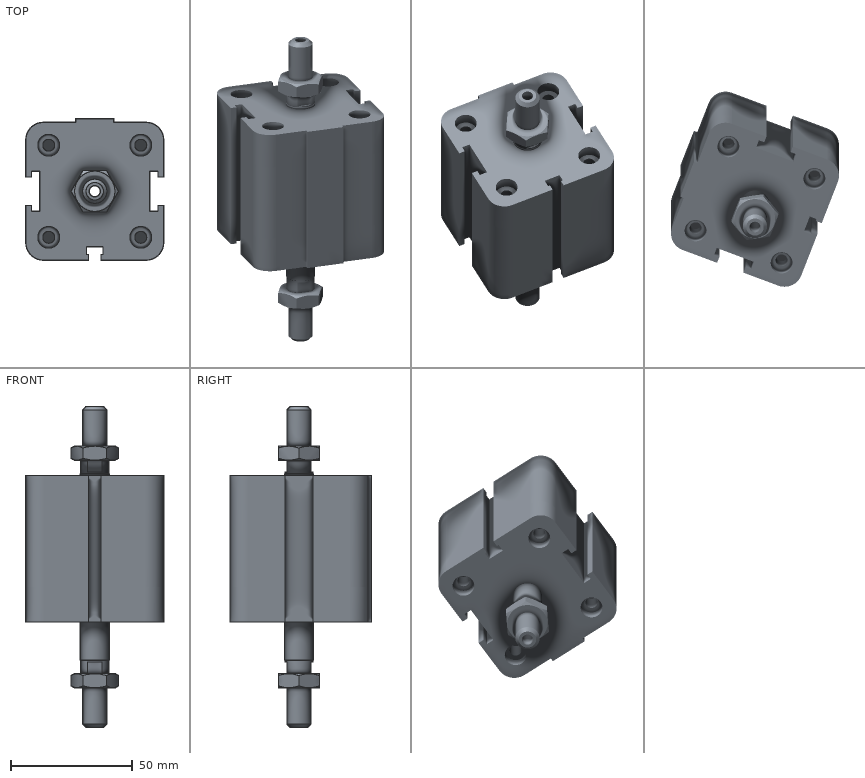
import cadquery as cq
import math

housing_width = 57.0
housing_length = 60.5
cap_length = 14.4
corner_radius = 7.4
rail_width = 15.8
rail_height = 1.5

side_slot = dict(mouth=11.7, chamber=16.4, lip=2.5, depth=5.8)
front_slot = dict(mouth=5.1, chamber=6.8, lip=2.5, depth=5.6)

mount_spacing = 38.0
mount_counterbore_diameter = 9.0
mount_counterbore_depth = 5.0
mount_hole_diameter = 4.92
mount_hole_depth = 14.5

rod_diameter = 12.0
stroke = 15.0
shoulder_height = 0.8
shoulder_chamfer = 0.15
neck_diameter = 11.7
neck_length = 5.4
neck_chamfer = 0.15
flat_spacing = 10.0
flat_gap = 0.6
thread_diameter = 10.0
rod_overhang = 28.5
tip_chamfer = 1.4
rod_bore_diameter = 4.5

nut_across_flats = 17.0
nut_height = 6.0
nut_face_diameter = 16.6
nut_chamfer_angle = 30.0

housing_bottom = 0.0
housing_top = housing_bottom + housing_length
rod_top = housing_top + rod_overhang
rod_bottom = housing_bottom - stroke - rod_overhang
shoulder_top = housing_top + shoulder_height
shoulder_bottom = housing_bottom - stroke - shoulder_height
neck_top = shoulder_top + neck_length
neck_bottom = shoulder_bottom - neck_length


def cylinder(diameter, bottom, top):
    return cq.Workplane("XY").workplane(offset=bottom).circle(diameter / 2).extrude(top - bottom)


def t_slot(bottom, top, mouth, chamber, lip, depth):
    """Cutter for a T-slot that opens at the -Y side of the housing."""
    surface = -housing_width / 2
    outline = [
        (-mouth / 2, surface),
        (-mouth / 2, surface + lip),
        (-chamber / 2, surface + lip),
        (-chamber / 2, surface + depth),
        (chamber / 2, surface + depth),
        (chamber / 2, surface + lip),
        (mouth / 2, surface + lip),
        (mouth / 2, surface),
    ]
    base = cq.Workplane("XY").workplane(offset=bottom)
    return base.polyline(outline).close().extrude(top - bottom)


def housing_section(bottom, top):
    """Length of the housing profile: rounded square, rail on +Y, T-slots on the other sides."""
    length = top - bottom
    base = cq.Workplane("XY").workplane(offset=bottom)
    section = base.rect(housing_width, housing_width).extrude(length).edges("|Z").fillet(corner_radius)
    rail = base.center(0, housing_width / 2).rect(rail_width, 2 * rail_height).extrude(length)
    section = section.union(rail).cut(t_slot(bottom, top, **front_slot))
    for angle in (-90, 90):
        slot = t_slot(bottom, top, **side_slot)
        section = section.cut(slot.rotate((0, 0, 0), (0, 0, 1), angle))
    return section


def mount_hole(end, inward):
    """Cutter for one blind counterbored hole on the Z axis, from the face at Z = end."""
    face = cq.Workplane("XY").workplane(offset=end)
    counterbore = face.circle(mount_counterbore_diameter / 2).extrude(inward * mount_counterbore_depth)
    return counterbore.union(face.circle(mount_hole_diameter / 2).extrude(inward * mount_hole_depth))


def make_housing():
    """End caps and barrel share one profile; clean=False keeps the seam lines between them."""
    body = housing_section(housing_bottom, housing_bottom + cap_length)
    body = body.union(housing_section(housing_bottom + cap_length, housing_top - cap_length), clean=False)
    body = body.union(housing_section(housing_top - cap_length, housing_top), clean=False)
    for end, inward in ((housing_bottom, 1), (housing_top, -1)):
        for x in (-mount_spacing / 2, mount_spacing / 2):
            for y in (-mount_spacing / 2, mount_spacing / 2):
                body = body.cut(mount_hole(end, inward).translate((x, y, 0)), clean=False)
    return body.cut(cylinder(rod_diameter, housing_bottom, housing_top), clean=False)


def make_neck(base, outward):
    """Neck from the shoulder at Z = base, with wrench flats facing +Y and -Y and a chamfered end."""
    neck = cylinder(neck_diameter, 0, neck_length).faces(">Z").chamfer(neck_chamfer)
    flat_length = neck_length - flat_gap
    flat_offset = flat_spacing / 2 + rod_diameter / 2
    for side in (-1, 1):
        flat = cq.Workplane("XY").box(
            2 * rod_diameter, rod_diameter, flat_length, centered=(True, True, False)
        )
        neck = neck.cut(flat.translate((0, side * flat_offset, flat_gap)))
    if outward < 0:
        neck = neck.mirror("XY")
    return neck.translate((0, 0, base))


def make_rod():
    thread = cylinder(thread_diameter, rod_bottom, rod_top).faces("<Z or >Z").chamfer(tip_chamfer)
    shaft = cylinder(rod_diameter, shoulder_bottom, shoulder_top).faces("<Z or >Z").chamfer(shoulder_chamfer)
    rod = thread.union(shaft)
    rod = rod.union(make_neck(shoulder_top, 1))
    rod = rod.union(make_neck(shoulder_bottom, -1))
    return rod.cut(cylinder(rod_bore_diameter, rod_bottom, rod_top))


def make_nut(bottom):
    """Hex nut with two corners on the X axis, chamfered on both faces."""
    across_corners = nut_across_flats / math.cos(math.pi / 6)
    corner = across_corners / 2
    face = nut_face_diameter / 2
    drop = (corner - face) * math.tan(math.radians(nut_chamfer_angle))
    hexagon = cq.Workplane("XY").polygon(6, across_corners).extrude(nut_height)
    chamfer_outline = [
        (0, 0),
        (face, 0),
        (corner, drop),
        (corner, nut_height - drop),
        (face, nut_height),
        (0, nut_height),
    ]
    envelope = cq.Workplane("XZ").polyline(chamfer_outline).close().revolve(360, (0, 0, 0), (0, 1, 0))
    nut = hexagon.intersect(envelope).cut(cylinder(thread_diameter, 0, nut_height))
    return nut.translate((0, 0, bottom))


housing = make_housing()
rod = make_rod()
nuts = [make_nut(bottom) for bottom in (neck_top, neck_bottom - nut_height)]

result = cq.Compound.makeCompound([housing.val(), rod.val(), *[nut.val() for nut in nuts]])